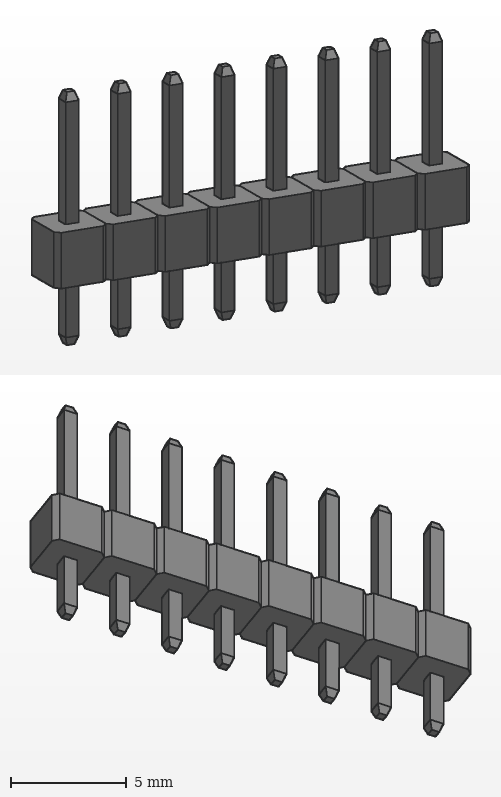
import cadquery as cq

unit_count = 8
row_length = 20.32
pitch = row_length / unit_count

block_width = pitch
block_height = pitch
corner_chamfer = 0.25

pin_width = 0.65
pin_above = 5.95
pin_below = 3.0
taper_length = 0.4
tip_width = 0.37


def make_block():
    """Square block with chamfered vertical edges, standing on Z = 0."""
    return (
        cq.Workplane("XY")
        .rect(block_width, pitch)
        .extrude(block_height)
        .edges("|Z")
        .chamfer(corner_chamfer)
    )


def make_pin_end(shoulder_z, direction):
    """Tapered pin end pointing up (direction 1) or down (direction -1)."""
    return (
        cq.Workplane("XY", origin=(0, 0, shoulder_z))
        .rect(pin_width, pin_width)
        .workplane(offset=direction * taper_length)
        .rect(tip_width, tip_width)
        .loft(ruled=True)
    )


def make_pin():
    """Square pin from below the block to above it, tapered at both ends."""
    lower_shoulder = -pin_below + taper_length
    upper_shoulder = block_height + pin_above - taper_length
    shaft = (
        cq.Workplane("XY", origin=(0, 0, lower_shoulder))
        .rect(pin_width, pin_width)
        .extrude(upper_shoulder - lower_shoulder)
    )
    upper_end = make_pin_end(upper_shoulder, 1)
    lower_end = make_pin_end(lower_shoulder, -1)
    return shaft.union(upper_end).union(lower_end)


def make_header_unit(y):
    """One block and its pin as a single solid, centred at the given Y."""
    return make_block().union(make_pin()).translate((0, y, 0))


first_y = -(row_length - pitch) / 2
header_units = []
for index in range(unit_count):
    header_units.append(make_header_unit(first_y + index * pitch).val())

result = cq.Compound.makeCompound(header_units)